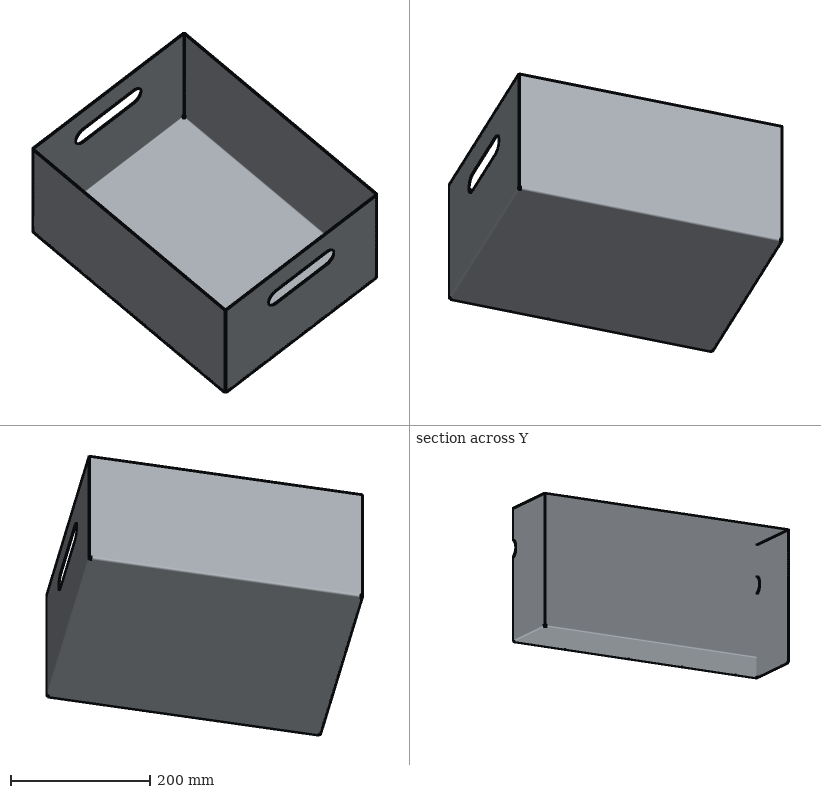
import cadquery as cq

inside_length = 400.0
inside_width = 300.0
height = 200.0
sheet = 1.5
bend_inner_radius = 2.0
corner_gap = 0.2

slot_length = 130.0
slot_height = 30.0
slot_center_z = 140.0

bend_outer_radius = bend_inner_radius + sheet
floor_length = inside_length - 2 * bend_inner_radius
floor_width = inside_width - 2 * bend_inner_radius


def make_floor():
    """Flat floor panel, reaching to the start of the four bends."""
    return cq.Workplane("XY").box(floor_length, floor_width, sheet, centered=(True, True, False))


def make_bend(floor_edge, bend_length):
    """Quarter-round bend along Y that joins the floor at X = floor_edge."""
    return (
        cq.Workplane("XZ", origin=(floor_edge, 0, 0))
        .moveTo(0, 0)
        .radiusArc((bend_outer_radius, bend_outer_radius), -bend_outer_radius)
        .lineTo(bend_inner_radius, bend_outer_radius)
        .radiusArc((0, sheet), bend_inner_radius)
        .close()
        .extrude(bend_length / 2, both=True)
    )


def make_wall(inner_face, wall_length):
    """Flat wall standing on a bend, with its inner face at X = inner_face."""
    return cq.Workplane("XY", origin=(inner_face, 0, bend_outer_radius)).box(
        sheet, wall_length, height - bend_outer_radius, centered=(False, True, False)
    )


def make_folded_side(inside_span, inside_across):
    """Bend and wall on the +X side of a box inside_span along X and inside_across along Y."""
    inner_face = inside_span / 2
    bend = make_bend(inner_face - bend_inner_radius, inside_across - 2 * bend_inner_radius)
    wall = make_wall(inner_face, inside_across - 2 * corner_gap)
    return bend.union(wall)


def make_hand_slots():
    """Round-ended cutter that passes through both end walls."""
    return (
        cq.Workplane("YZ", origin=(0, 0, slot_center_z))
        .slot2D(slot_length, slot_height)
        .extrude(inside_length / 2 + bend_outer_radius, both=True)
    )


end_side = make_folded_side(inside_length, inside_width)
long_side = make_folded_side(inside_width, inside_length)

box = make_floor()
for half_turn in (0, 180):
    box = box.union(end_side.rotate((0, 0, 0), (0, 0, 1), half_turn))
    box = box.union(long_side.rotate((0, 0, 0), (0, 0, 1), half_turn + 90))

result = box.cut(make_hand_slots())